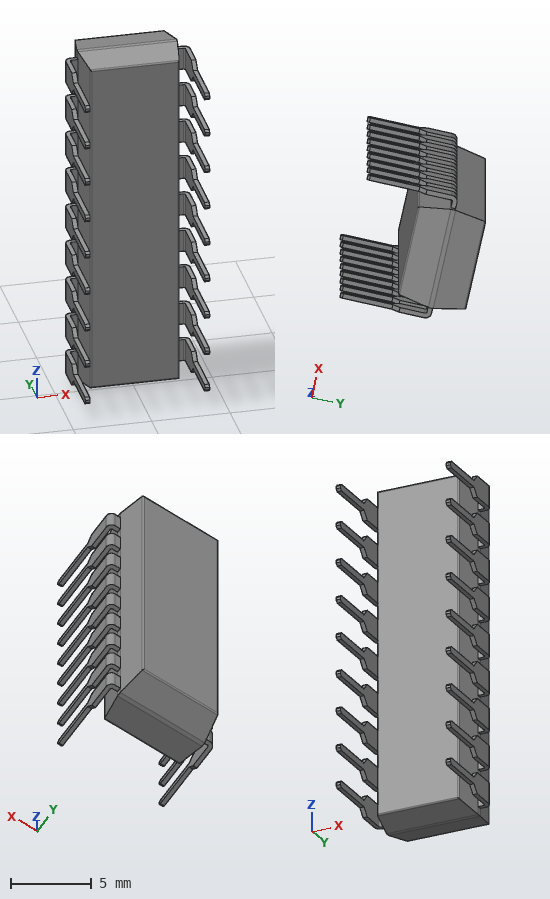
import cadquery as cq
import math

pins_per_row = 9
pitch = 2.54
row_spacing = 7.62
lead_thickness = 0.30

body_length = pins_per_row * pitch
body_width = 6.35
body_depth = 4.30
draft_angle = 10.0
rim_radius = 0.10

wide_width = 1.46
narrow_width = 0.46
bend_outer_radius = 0.40
bend_inner_radius = bend_outer_radius - lead_thickness
shoulder_start = 2.00
shoulder_taper = 0.45
tip_chamfer = 0.15
overall_depth = 7.75

band_top = lead_thickness / 2
band_bottom = -band_top
half_depth = (body_depth - lead_thickness) / 2
tip_y = band_top + half_depth - overall_depth
lead_outer_x = (row_spacing + lead_thickness) / 2
lead_inner_x = lead_outer_x - lead_thickness
shoulder_top_y = band_top - shoulder_start
shoulder_bottom_y = shoulder_top_y - shoulder_taper


def tapered_half(direction):
    """Drafted half of the body, growing from the band along Y (direction +1 or -1)."""
    half = (
        cq.Workplane("XZ", origin=(0, direction * band_top, 0))
        .rect(body_width, body_length)
        .extrude(-direction * half_depth, taper=draft_angle)
    )
    end_face = ">Y" if direction > 0 else "<Y"
    return half.faces(end_face).edges().fillet(rim_radius)


def make_body():
    """Straight parting band between two drafted halves."""
    band = cq.Workplane("XY").box(body_width, lead_thickness, body_length)
    return band.union(tapered_half(1)).union(tapered_half(-1))


def lead_outline():
    """Lead silhouette seen along X: wide shank, sloped shoulders, narrow pin, chamfered tip."""
    tip_half = narrow_width / 2 - tip_chamfer
    upper_edge = [
        (band_top, wide_width / 2),
        (shoulder_top_y, wide_width / 2),
        (shoulder_bottom_y, narrow_width / 2),
        (tip_y + tip_chamfer, narrow_width / 2),
        (tip_y, tip_half),
    ]
    lower_edge = [(y, -z) for y, z in reversed(upper_edge)]
    return cq.Workplane("YZ").polyline(upper_edge + lower_edge).close().extrude(lead_outer_x)


def make_lead():
    """Bent lead on the +X side, centred on Z = 0, starting inside the body."""
    diagonal = math.cos(math.radians(45))
    outer_diagonal = bend_outer_radius * diagonal
    inner_diagonal = bend_inner_radius * diagonal
    bend_x = lead_outer_x - bend_outer_radius
    bend_y = band_top - bend_outer_radius
    strip = (
        cq.Workplane("XY")
        .moveTo(0, band_top)
        .lineTo(bend_x, band_top)
        .threePointArc((bend_x + outer_diagonal, bend_y + outer_diagonal), (lead_outer_x, bend_y))
        .lineTo(lead_outer_x, tip_y)
        .lineTo(lead_inner_x, tip_y)
        .lineTo(lead_inner_x, bend_y)
        .threePointArc((bend_x + inner_diagonal, bend_y + inner_diagonal), (bend_x, band_bottom))
        .lineTo(0, band_bottom)
        .close()
        .extrude(wide_width / 2, both=True)
    )
    return strip.intersect(lead_outline())


def make_package():
    """Body with both rows of leads."""
    package = make_body()
    right_lead = make_lead()
    left_lead = right_lead.mirror("YZ")
    for pin in range(pins_per_row):
        z = (pin - (pins_per_row - 1) / 2) * pitch
        for lead in (right_lead, left_lead):
            package = package.union(lead.translate((0, 0, z)))
    return package


result = make_package()